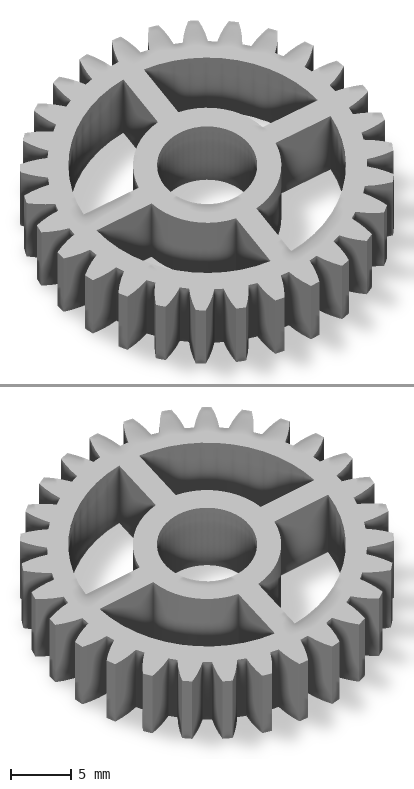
import cadquery as cq
import math

MODULE = 1.0
TOOTH_COUNT = 29
FACE_WIDTH = 7.0
FIRST_TOOTH_ANGLE = math.radians(90)

BORE_DIAMETER = 8.3
HUB_WALL = 2.0
RIM_INNER_DIAMETER = 23.0
SPOKE_COUNT = 4
SPOKE_WIDTH = 2.0

ADDENDUM = MODULE
DEDENDUM = 1.25 * MODULE
PITCH_RADIUS = MODULE * TOOTH_COUNT / 2
TIP_RADIUS = PITCH_RADIUS + ADDENDUM
ROOT_RADIUS = PITCH_RADIUS - DEDENDUM
TOOTH_PITCH_ANGLE = 2 * math.pi / TOOTH_COUNT

PITCH_THICKNESS = math.pi * MODULE / 2
TIP_THICKNESS = 0.84
ROOT_THICKNESS = 2.1

HUB_DIAMETER = BORE_DIAMETER + 2 * HUB_WALL


def polar(radius, angle):
    return (radius * math.cos(angle), radius * math.sin(angle))


def flank_point(radius, tooth_thickness, center_angle, side):
    """Point on a tooth flank; side is -1 or +1 about the tooth centreline."""
    half_angle = tooth_thickness / 2 / radius
    return polar(radius, center_angle + side * half_angle)


def gear_blank():
    """Solid toothed disc with arc flanks, tips and root lands."""
    outline = cq.Workplane("XY").moveTo(*flank_point(ROOT_RADIUS, ROOT_THICKNESS, FIRST_TOOTH_ANGLE, -1))
    for tooth in range(TOOTH_COUNT):
        center = FIRST_TOOTH_ANGLE + tooth * TOOTH_PITCH_ANGLE
        next_center = center + TOOTH_PITCH_ANGLE
        gap_middle = center + TOOTH_PITCH_ANGLE / 2
        outline = (
            outline.threePointArc(
                flank_point(PITCH_RADIUS, PITCH_THICKNESS, center, -1),
                flank_point(TIP_RADIUS, TIP_THICKNESS, center, -1),
            )
            .threePointArc(
                polar(TIP_RADIUS, center),
                flank_point(TIP_RADIUS, TIP_THICKNESS, center, 1),
            )
            .threePointArc(
                flank_point(PITCH_RADIUS, PITCH_THICKNESS, center, 1),
                flank_point(ROOT_RADIUS, ROOT_THICKNESS, center, 1),
            )
            .threePointArc(
                polar(ROOT_RADIUS, gap_middle),
                flank_point(ROOT_RADIUS, ROOT_THICKNESS, next_center, -1),
            )
        )
    return outline.close().extrude(FACE_WIDTH)


def spokes():
    """Radial bars running from the axis out to the rim."""
    length = RIM_INNER_DIAMETER / 2
    return (
        cq.Workplane("XY")
        .polarArray(length / 2, 0, 360, SPOKE_COUNT)
        .rect(length, SPOKE_WIDTH)
        .extrude(FACE_WIDTH)
    )


def windows():
    """Through openings between hub and rim, separated by the spokes."""
    ring = (
        cq.Workplane("XY")
        .circle(RIM_INNER_DIAMETER / 2)
        .circle(HUB_DIAMETER / 2)
        .extrude(FACE_WIDTH)
    )
    return ring.cut(spokes())


def bore():
    return cq.Workplane("XY").circle(BORE_DIAMETER / 2).extrude(FACE_WIDTH)


result = gear_blank().cut(windows()).cut(bore())